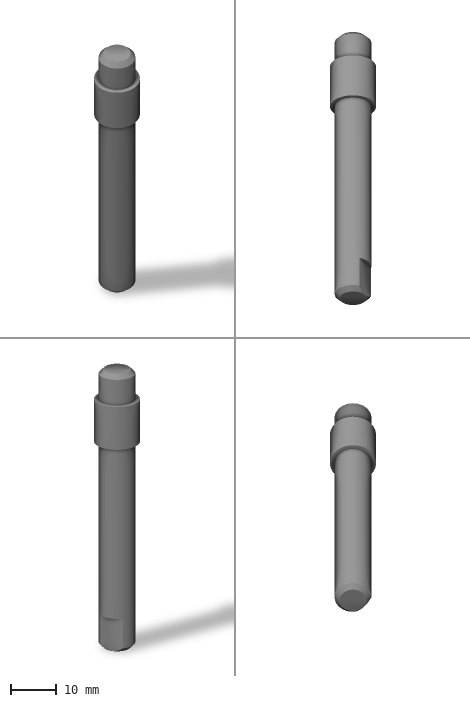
import cadquery as cq

total_length = 65.0
pin_diameter = 8.0
collar_diameter = 10.0
collar_length = 10.0
tip_length = 7.0
end_chamfer = 1.05
flat_length = 8.0
flat_depth = 1.0

collar_bottom = total_length - tip_length - collar_length
pin_radius = pin_diameter / 2

pin = cq.Workplane("XY").circle(pin_radius).extrude(total_length)
pin = pin.faces("<Z or >Z").chamfer(end_chamfer)

collar = (
    cq.Workplane("XY")
    .workplane(offset=collar_bottom)
    .circle(collar_diameter / 2)
    .extrude(collar_length)
)

flat_cutter = (
    cq.Workplane("XY")
    .center(0, pin_radius - flat_depth)
    .box(pin_diameter, pin_diameter, flat_length, centered=(True, False, False))
)

result = pin.union(collar).cut(flat_cutter)